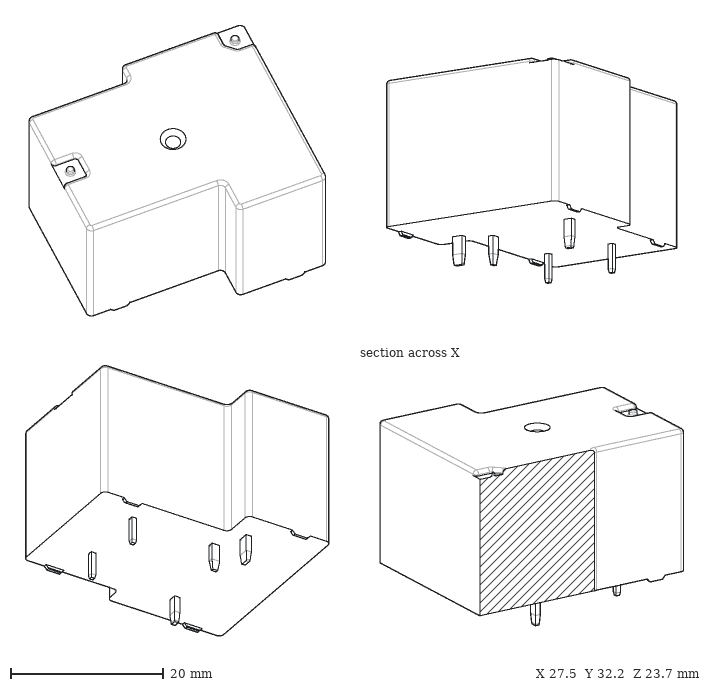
import cadquery as cq

width = 27.5
length = 32.2
height = 19.85
left_step_x = -11.05
left_step_y = -1.48
right_step_x = 8.95
right_step_y = 3.25
wall_radius = 0.7
rim_radius = 0.5

pocket_depth = 0.7
pocket_corner_radius = 0.48
corner_pocket_x = -10.0
corner_pocket_y = 12.4
corner_pocket_chamfer = 1.3
front_pocket_center_x = -1.05
front_pocket_width = 3.38
front_pocket_back_y = -12.6

stud_diameter = 1.05
stud_height = 0.65
stud_base_radius = 0.15
corner_stud = ((-11.62, 14.05), 0.13)
front_stud = ((front_pocket_center_x, -14.3), 0.15)

dimple_diameter = 3.38
dimple_floor_diameter = 2.0
dimple_depth = 0.7

foot_height = 0.48
foot_thickness = 0.48
foot_length = 2.77
foot_end_chamfer = 0.42
foot_inner_chamfer = 0.1
foot_y = 11.53

pin_end = -3.85

coil_pin_x = 5.1
coil_pin_y = -9.18
coil_pin = [(0.7, 0.7, 0), (0.7, 0.7, -3.38), (0.5, 0.5, pin_end)]

outer_pin_x = 8.85
outer_pin_y = 5.95
left_pin = [(1.2, 0.8, 0), (1.2, 0.8, -2.35), (0.93, 0.65, -3.65), (0.85, 0.55, pin_end)]
right_pin = [(1.5, 0.8, 0), (1.5, 0.8, -2.45), (1.3, 0.48, pin_end)]
right_pin_end_radius = 0.15

inner_pin_y = 3.45
inner_pin = [(0.7, 1.2, 0), (0.7, 1.2, -2.45), (0.4, 0.75, pin_end)]

left, right = -width / 2, width / 2
front, back = -length / 2, length / 2
pocket_floor = height - pocket_depth


def upright_edges_at(points, z_low, z_high):
    """Select the upright edges that stand on the given (x, y) points."""
    selector = None
    reach = 0.03
    for x, y in points:
        box = cq.selectors.BoxSelector(
            (x - reach, y - reach, z_low - reach), (x + reach, y + reach, z_high + reach)
        )
        selector = box if selector is None else selector + box
    return selector


def make_housing():
    outline = [
        (left_step_x, front),
        (right_step_x, front),
        (right_step_x, right_step_y),
        (right, right_step_y),
        (right, back),
        (left, back),
        (left, left_step_y),
        (left_step_x, left_step_y),
    ]
    block = cq.Workplane("XY").polyline(outline).close().extrude(height)
    return block.edges("|Z").fillet(wall_radius)


def cut_pockets(body):
    """Sink both pockets, round their inner corners, then round the mouths with the rim."""
    chamfer_top = (corner_pocket_x, corner_pocket_y + corner_pocket_chamfer)
    chamfer_left = (corner_pocket_x - corner_pocket_chamfer, corner_pocket_y)
    corner_mouth = [(corner_pocket_x, back), (left, corner_pocket_y)]
    corner_pocket = (
        cq.Workplane("XY", origin=(0, 0, pocket_floor))
        .polyline([corner_mouth[0], chamfer_top, chamfer_left, corner_mouth[1], (left, back)])
        .close()
        .extrude(pocket_depth)
    )

    pocket_left = front_pocket_center_x - front_pocket_width / 2
    pocket_right = front_pocket_center_x + front_pocket_width / 2
    front_mouth = [(pocket_left, front), (pocket_right, front)]
    front_corners = [(pocket_left, front_pocket_back_y), (pocket_right, front_pocket_back_y)]
    front_pocket = (
        cq.Workplane("XY", origin=(0, 0, pocket_floor))
        .polyline([*front_mouth, *reversed(front_corners)])
        .close()
        .extrude(pocket_depth)
    )

    body = body.cut(corner_pocket).cut(front_pocket)
    inner_corners = [chamfer_top, chamfer_left, *front_corners]
    inner_edges = upright_edges_at(inner_corners, pocket_floor, height)
    body = body.edges(inner_edges).fillet(pocket_corner_radius)

    mouth_edges = upright_edges_at([*corner_mouth, *front_mouth], pocket_floor, height)
    rim_edges = body.faces(">Z").edges()
    return rim_edges.add(body.edges(mouth_edges)).fillet(rim_radius)


def make_stud(center, top_radius):
    """Round stud with a flared foot and a rounded top edge."""
    radius = stud_diameter / 2
    profile = (
        cq.Workplane("XZ", origin=(*center, pocket_floor))
        .lineTo(radius + stud_base_radius, 0)
        .radiusArc((radius, stud_base_radius), stud_base_radius)
        .lineTo(radius, stud_height - top_radius)
        .radiusArc((radius - top_radius, stud_height), -top_radius)
        .lineTo(0, stud_height)
        .close()
    )
    return profile.revolve(360, (0, 0, 0), (0, 1, 0))


def make_dimple():
    return (
        cq.Workplane("XY", origin=(0, 0, height - dimple_depth))
        .circle(dimple_floor_diameter / 2)
        .workplane(offset=dimple_depth)
        .circle(dimple_diameter / 2)
        .loft()
    )


def make_foot(wall_x, y, inward):
    """Foot flush with the side wall at wall_x; inward is the X direction into the housing."""
    half = foot_length / 2
    half_bottom = half - foot_end_chamfer
    foot = (
        cq.Workplane("YZ", origin=(wall_x, y, 0))
        .polyline([(-half, 0), (half, 0), (half_bottom, -foot_height), (-half_bottom, -foot_height)])
        .close()
        .extrude(inward * foot_thickness)
    )
    inner_side = ">X" if inward > 0 else "<X"
    return foot.faces("<Z").edges(inner_side).chamfer(foot_inner_chamfer)


def make_pin(x, y, sections):
    pin = cq.Workplane("XY")
    for upper, lower in zip(sections, sections[1:]):
        upper_x, upper_y, upper_z = upper
        lower_x, lower_y, lower_z = lower
        piece = (
            cq.Workplane("XY", origin=(x, y, lower_z))
            .rect(lower_x, lower_y)
            .workplane(offset=upper_z - lower_z)
            .rect(upper_x, upper_y)
            .loft()
        )
        pin = pin.union(piece)
    return pin


def make_right_pin():
    """Wide pin with rounded corners at both ends of its tip."""
    pin = make_pin(outer_pin_x, outer_pin_y, right_pin)
    return pin.faces("<Z").edges("|Y").fillet(right_pin_end_radius)


result = cut_pockets(make_housing()).cut(make_dimple())

for stud in (corner_stud, front_stud):
    result = result.union(make_stud(*stud))

for left_wall, right_wall, y in [(left, right, foot_y), (left_step_x, right_step_x, -foot_y)]:
    result = result.union(make_foot(left_wall, y, 1))
    result = result.union(make_foot(right_wall, y, -1))

for x in (-coil_pin_x, coil_pin_x):
    result = result.union(make_pin(x, coil_pin_y, coil_pin))

result = result.union(make_pin(-outer_pin_x, outer_pin_y, left_pin))
result = result.union(make_right_pin())
result = result.union(make_pin(coil_pin_x, inner_pin_y, inner_pin))